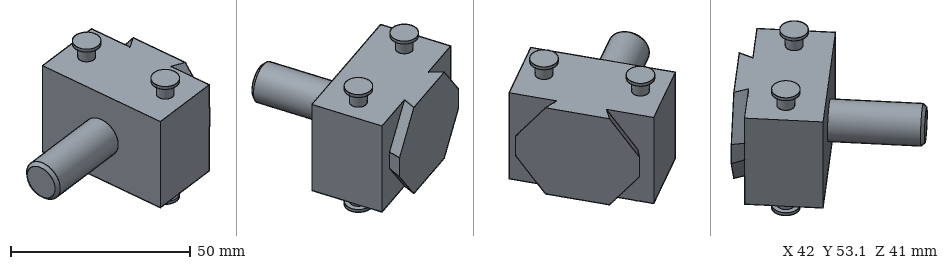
import cadquery as cq

block_width = 42.0
block_depth = 22.0
block_height = 30.0

shaft_diameter = 12.0
shaft_length = 27.05
shaft_chamfer = 1.0

pin_spacing = 28.0
pin_height = 5.5
pin_diameter = 5.0
head_diameter = 8.0
head_thickness = 1.0

plate_thickness = 4.0
plate_outer_half_width = 18.0
plate_outer_half_flat = 9.3
plate_inner_half_width = 16.4
plate_inner_half_flat = 7.25
facet_slope = 4 / 3

half_height = block_height / 2
front_y = -block_depth / 2
back_y = block_depth / 2


def make_shaft():
    shaft = cq.Workplane("XZ", origin=(0, front_y, 0)).circle(shaft_diameter / 2).extrude(shaft_length)
    return shaft.faces("<Y").chamfer(shaft_chamfer)


def make_pin(x):
    """Pin standing on the top face at the given x."""
    shank = cq.Workplane("XY", origin=(x, 0, half_height)).circle(pin_diameter / 2).extrude(pin_height)
    head_base = half_height + pin_height - head_thickness
    head = cq.Workplane("XY", origin=(x, 0, head_base)).circle(head_diameter / 2).extrude(head_thickness)
    return shank.union(head)


def octagon(half_width, half_flat):
    """Corners of a plate section as tall as the block."""
    corner_z = half_height - facet_slope * (half_width - half_flat)
    return [
        (half_width, corner_z),
        (half_flat, half_height),
        (-half_flat, half_height),
        (-half_width, corner_z),
        (-half_width, -corner_z),
        (-half_flat, -half_height),
        (half_flat, -half_height),
        (half_width, -corner_z),
    ]


def make_plate():
    return (
        cq.Workplane("XZ", origin=(0, back_y, 0))
        .polyline(octagon(plate_inner_half_width, plate_inner_half_flat))
        .close()
        .workplane(offset=-plate_thickness)
        .polyline(octagon(plate_outer_half_width, plate_outer_half_flat))
        .close()
        .loft(ruled=True)
    )


result = cq.Workplane("XY").box(block_width, block_depth, block_height)
result = result.union(make_shaft()).union(make_plate())
for pin_x in (-pin_spacing / 2, pin_spacing / 2):
    pin = make_pin(pin_x)
    result = result.union(pin).union(pin.mirror("XY"))